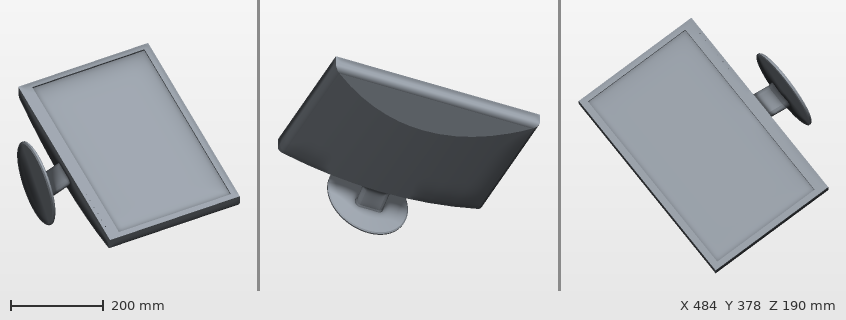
import cadquery as cq
import math


width = 484.0
total_height = 378.0
foot_diameter = 190.0

housing_bottom = 70.0
screen_face = 34.5
rear_face = -30.0
side_wall_end = 14.0
side_round_inset = 13.5
side_round_end = -0.5
rear_slope_start = 366.5
rear_slope_end = 296.5

bezel_side = 13.5
bezel_top = 15.0
bezel_bottom = 27.0
recess_depth = 4.0

button_diameter = 2.0
button_depth = 2.0
button_count = 6
button_pitch = 20.5
first_button_x = 100.5
button_edge_gap = 7.5

foot_face_radius = 92.0
rim_bottom = 3.0
rim_top = 6.5
crown_edge = 8.0
crown_top = 15.0

neck_width = 64.0
neck_flat_width = 45.5
neck_thickness = 14.5
neck_angle = 25.0
neck_entry = 9.5
seam_y = 20.5
seam_z = -23.0
seam_tilt = neck_angle
flare_root_width = 67.5
flare_root_height = 26.5
flare_root_y = 12.0
flare_root_z = seam_z

half_width = width / 2


def arc_middle(start, end, center):
    """Point halfway along the short arc from start to end about center."""
    radius = math.dist(start, center)
    chord_x = (start[0] + end[0]) / 2 - center[0]
    chord_y = (start[1] + end[1]) / 2 - center[1]
    reach = radius / math.hypot(chord_x, chord_y)
    return center[0] + chord_x * reach, center[1] + chord_y * reach


def corner_arc_middle(wall_point, far_point):
    """Middle of an arc tangent to a wall (constant first coordinate) at wall_point."""
    run = wall_point[0] - far_point[0]
    drop = wall_point[1] - far_point[1]
    radius = (run ** 2 + drop ** 2) / (2 * run)
    return arc_middle(wall_point, far_point, (wall_point[0] - radius, wall_point[1]))


def make_housing():
    """Bow-backed section extruded up the screen, with a sloped rear at the top."""
    wall_end = (half_width, side_wall_end)
    round_end = (half_width - side_round_inset, side_round_end)
    round_middle = corner_arc_middle(wall_end, round_end)
    section = (
        cq.Workplane("XZ", origin=(0, total_height, 0))
        .moveTo(-half_width, screen_face)
        .lineTo(half_width, screen_face)
        .lineTo(*wall_end)
        .threePointArc(round_middle, round_end)
        .threePointArc((0, rear_face), (-round_end[0], round_end[1]))
        .threePointArc((-round_middle[0], round_middle[1]), (-half_width, side_wall_end))
        .close()
        .extrude(total_height - housing_bottom)
    )
    top_wall_end = (total_height, side_wall_end)
    slope_start = (rear_slope_start, side_round_end)
    side_profile = (
        cq.Workplane("YZ", origin=(-half_width, 0, 0))
        .moveTo(housing_bottom, screen_face)
        .lineTo(total_height, screen_face)
        .lineTo(*top_wall_end)
        .threePointArc(corner_arc_middle(top_wall_end, slope_start), slope_start)
        .lineTo(rear_slope_end, rear_face)
        .lineTo(housing_bottom, rear_face)
        .close()
        .extrude(width)
    )
    return section.intersect(side_profile)


def make_screen_recess():
    """Block that sinks the screen below the bezel."""
    recess_bottom = housing_bottom + bezel_bottom
    recess_height = total_height - bezel_top - recess_bottom
    return cq.Workplane("XY").box(
        width - 2 * bezel_side, recess_height, recess_depth, centered=(True, False, False)
    ).translate((0, recess_bottom, screen_face - recess_depth))


def make_button_holes():
    """Row of shallow round holes along the lower bezel."""
    centers = [(first_button_x + i * button_pitch, housing_bottom + button_edge_gap)
               for i in range(button_count)]
    return (
        cq.Workplane("XY", origin=(0, 0, screen_face))
        .pushPoints(centers)
        .circle(button_diameter / 2)
        .extrude(-button_depth)
    )


def make_foot():
    """Round foot with both rim edges chamfered and a shallow conical crown."""
    rim_radius = foot_diameter / 2
    return (
        cq.Workplane("XY")
        .moveTo(0, 0)
        .lineTo(foot_face_radius, 0)
        .lineTo(rim_radius, rim_bottom)
        .lineTo(rim_radius, rim_top)
        .lineTo(foot_face_radius, crown_edge)
        .lineTo(0, crown_top)
        .close()
        .revolve(360, (0, 0, 0), (0, 1, 0))
    )


def neck_section(plane, section_width, thickness):
    """Wire of a flat bar section with bowed ends."""
    flat = neck_flat_width / 2
    half = thickness / 2
    return (
        cq.Workplane(plane)
        .moveTo(-flat, -half)
        .lineTo(flat, -half)
        .threePointArc((section_width / 2, 0), (flat, half))
        .lineTo(-flat, half)
        .threePointArc((-section_width / 2, 0), (-flat, -half))
        .close()
        .wire()
        .val()
    )


def make_neck():
    """Inclined bar from the housing, flaring out from a tilted seam to the foot."""
    angle = math.radians(neck_angle)
    tilt = math.radians(seam_tilt)
    seam_plane = cq.Plane((0, seam_y, seam_z), (1, 0, 0), (0, math.cos(tilt), -math.sin(tilt)))
    seam_height = neck_thickness / math.cos(angle + tilt)
    seam = neck_section(seam_plane, neck_width, seam_height)
    reach = housing_bottom + neck_entry - seam_y
    bar = cq.Solid.extrudeLinear(seam, [], cq.Vector(0, reach, reach * math.tan(angle)))

    root_plane = cq.Plane((0, flare_root_y, flare_root_z), (1, 0, 0), (0, 1, 0))
    root = neck_section(root_plane, flare_root_width, flare_root_height)
    flare = cq.Solid.makeLoft([root, seam], True)
    return cq.Workplane(bar).union(cq.Workplane(flare))


housing = make_housing().cut(make_screen_recess()).cut(make_button_holes())
result = housing.union(make_neck()).union(make_foot())